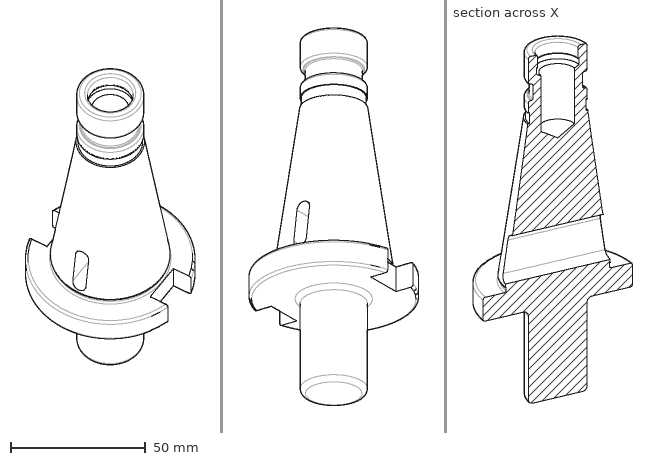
import cadquery as cq
import math

TOTAL_HEIGHT = 143.4
FLANGE_BOTTOM = 38.5
FLANGE_TOP = 48.5
CONE_BOTTOM = 50.5
CONE_TOP = 115.7
COLLAR_BOTTOM = 120.2
COLLAR_TOP = 125.2
HEAD_BOTTOM = 131.8

SHANK_RADIUS = 12.5
FLANGE_RADIUS = 31.48
UNDERCUT_RADIUS = 21.8
CONE_BASE_RADIUS = 22.2
TAPER_PER_LENGTH = 7 / 24
CONE_TOP_RADIUS = CONE_BASE_RADIUS - (CONE_TOP - CONE_BOTTOM) * TAPER_PER_LENGTH / 2
RELIEF_RADIUS = 12.0
HEAD_RADIUS = SHANK_RADIUS
NECK_RADIUS = 10.6

EDGE_ROUND = 1.0
NECK_ROOT_ROUND = 0.5
UNDERCUT_FLANGE_ROUND = 0.7
UNDERCUT_CONE_ROUND = 0.3
SHANK_END_ROUND = 2.0
FLANGE_ROOT_ROUND = 1.9

COUNTERBORE_RADIUS = 8.5
COUNTERBORE_DEPTH = 5.6
GROOVE_RADIUS = 8.9
GROOVE_WIDTH = 2.5
BORE_RADIUS = 7.0
BORE_DEPTH = 32.0
COUNTERSINK_HALF_ANGLE = 60
DRILL_HALF_ANGLE = 59

NOTCH_WIDTH = 16.0
NOTCH_FLOOR = 22.7
SLOT_WIDTH = 5.7
SLOT_LENGTH = 19.1
SLOT_CENTER_HEIGHT = 61.5


def revolve_profile(points):
    """Turn a closed (radius, height) outline about the Z axis."""
    return cq.Workplane("XZ").polyline(points).close().revolve(360, (0, 0, 0), (0, 1, 0))


def round_circle(body, radius, height, size):
    """Fillet the circular edge at this height, ignoring any larger circle around it."""
    margin = 0.01
    lower = (-radius - margin, -radius - margin, height - margin)
    upper = (radius + margin, radius + margin, height + margin)
    edges = body.edges(cq.selectors.BoxSelector(lower, upper, boundingbox=True))
    return edges.edges(cq.selectors.RadiusNthSelector(-1)).fillet(size)


def turned_body():
    body = revolve_profile([
        (0, 0),
        (SHANK_RADIUS, 0),
        (SHANK_RADIUS, FLANGE_BOTTOM),
        (FLANGE_RADIUS, FLANGE_BOTTOM),
        (FLANGE_RADIUS, FLANGE_TOP),
        (UNDERCUT_RADIUS, FLANGE_TOP),
        (UNDERCUT_RADIUS, CONE_BOTTOM),
        (CONE_BASE_RADIUS, CONE_BOTTOM),
        (CONE_TOP_RADIUS, CONE_TOP),
        (RELIEF_RADIUS, CONE_TOP),
        (RELIEF_RADIUS, COLLAR_BOTTOM),
        (HEAD_RADIUS, COLLAR_BOTTOM),
        (HEAD_RADIUS, COLLAR_TOP),
        (NECK_RADIUS, COLLAR_TOP),
        (NECK_RADIUS, HEAD_BOTTOM),
        (HEAD_RADIUS, HEAD_BOTTOM),
        (HEAD_RADIUS, TOTAL_HEIGHT),
        (0, TOTAL_HEIGHT),
    ])
    rounds = [
        (SHANK_RADIUS, 0, SHANK_END_ROUND),
        (SHANK_RADIUS, FLANGE_BOTTOM, FLANGE_ROOT_ROUND),
        (FLANGE_RADIUS, FLANGE_BOTTOM, EDGE_ROUND),
        (FLANGE_RADIUS, FLANGE_TOP, EDGE_ROUND),
        (UNDERCUT_RADIUS, FLANGE_TOP, UNDERCUT_FLANGE_ROUND),
        (UNDERCUT_RADIUS, CONE_BOTTOM, UNDERCUT_CONE_ROUND),
        (NECK_RADIUS, COLLAR_TOP, NECK_ROOT_ROUND),
        (NECK_RADIUS, HEAD_BOTTOM, NECK_ROOT_ROUND),
        (HEAD_RADIUS, COLLAR_TOP, EDGE_ROUND),
        (HEAD_RADIUS, HEAD_BOTTOM, EDGE_ROUND),
        (HEAD_RADIUS, TOTAL_HEIGHT, EDGE_ROUND),
    ]
    for radius, height, size in rounds:
        body = round_circle(body, radius, height, size)
    return body


def cone_height(radius_change, half_angle):
    """Axial length of a cone that changes radius by the given amount."""
    return radius_change / math.tan(math.radians(half_angle))


def bore():
    groove_top = TOTAL_HEIGHT - COUNTERBORE_DEPTH
    groove_bottom = groove_top - GROOVE_WIDTH
    countersink_bottom = groove_bottom - cone_height(GROOVE_RADIUS - BORE_RADIUS, COUNTERSINK_HALF_ANGLE)
    bore_end = TOTAL_HEIGHT - BORE_DEPTH
    drill_tip = bore_end - cone_height(BORE_RADIUS, DRILL_HALF_ANGLE)
    return revolve_profile([
        (0, drill_tip),
        (BORE_RADIUS, bore_end),
        (BORE_RADIUS, countersink_bottom),
        (GROOVE_RADIUS, groove_bottom),
        (GROOVE_RADIUS, groove_top),
        (COUNTERBORE_RADIUS, groove_top),
        (COUNTERBORE_RADIUS, TOTAL_HEIGHT),
        (0, TOTAL_HEIGHT),
    ])


def driving_notch(side):
    """Notch through the flange on the +X (side = 1) or -X (side = -1) side."""
    depth = FLANGE_RADIUS - NOTCH_FLOOR
    height = FLANGE_TOP - FLANGE_BOTTOM
    center = (side * (NOTCH_FLOOR + depth / 2), 0, FLANGE_BOTTOM + height / 2)
    return cq.Workplane("XY").box(depth, NOTCH_WIDTH, height).translate(center)


def cross_slot():
    return (
        cq.Workplane("XZ")
        .center(0, SLOT_CENTER_HEIGHT)
        .slot2D(SLOT_LENGTH, SLOT_WIDTH, 90)
        .extrude(CONE_BASE_RADIUS, both=True)
    )


result = turned_body().cut(bore())
result = round_circle(result, COUNTERBORE_RADIUS, TOTAL_HEIGHT, EDGE_ROUND)
result = result.cut(cross_slot())
for side in (-1, 1):
    result = result.cut(driving_notch(side))